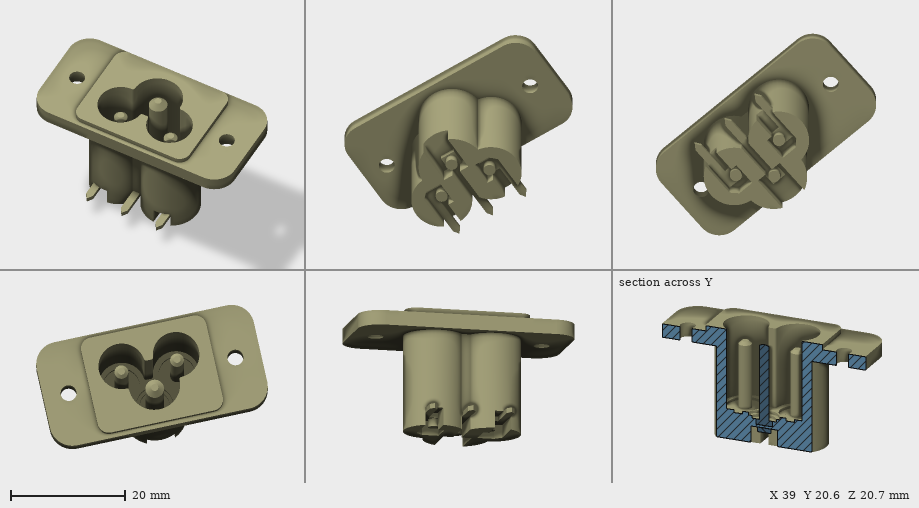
import cadquery as cq
import math

FLANGE_LENGTH = 39.0
FLANGE_WIDTH = 19.0
FLANGE_THICKNESS = 2.6
FLANGE_CORNER = 4.0
SCREW_SPACING = 29.95
SCREW_HOLE_RADIUS = 1.4

PAD_LENGTH = 22.45
PAD_WIDTH = 17.47
PAD_HEIGHT = 0.98
PAD_CORNER = 2.0
FACE_Z = FLANGE_THICKNESS + PAD_HEIGHT

TOWER_BOTTOM = -17.12
TOWER_REAR_Y = 2.1
TOWER_REAR_RADIUS = 5.85
TOWER_SIDE_X = 5.15
TOWER_SIDE_Y = -2.57
TOWER_SIDE_RADIUS = 5.35
TOWER_WEB_Y = -5.65

SOCKET_DEPTH = 15.0
SOCKET_FLOOR = FACE_Z - SOCKET_DEPTH
SOCKET_REAR_Y = 1.95
SOCKET_REAR_RADIUS = 4.52
SOCKET_SIDE_X = 4.88
SOCKET_SIDE_Y = -2.5
SOCKET_SIDE_RADIUS = 4.1
SOCKET_BASE_Y = -2.57
SOCKET_CORNER = 0.4

STEP_DEPTH = 0.5
SIDE_STEP_RADII = [3.28]
REAR_STEP_RADII = [3.28, 2.65]

SIDE_PIN_X = 5.0
SIDE_PIN_Y = -2.3
REAR_PIN_Y = 2.22
SIDE_PIN_RADIUS = 1.2
REAR_PIN_RADIUS = 1.65
SIDE_PIN_TIP = 0.6
REAR_PIN_TIP = 2.55
TIP_RADIUS = 0.62
COLLAR_RADIUS = 2.05
COLLAR_HEIGHT = 1.0
TAIL_RADIUS = 1.05
TAIL_END = -16.3

TERMINAL_TOP = -14.05
TERMINAL_THICKNESS = 0.85
BLADE_SPACING = 6.95
BLADE_WIDTH = 1.35
BLADE_TIP_Y = -11.1
POINT_LENGTH = 1.0
LUG_REACH = 1.35

NOTCH_INNER_X = 4.65
NOTCH_OUTER_X = 7.72
SIDE_POCKET_INNER_X = 3.5
SIDE_POCKET_FRONT_Y = -3.9
SIDE_POCKET_BACK_Y = 0.4
SIDE_POCKET_BEVEL = 1.2
MIDDLE_SLOT_WIDTH = 1.52
REAR_POCKET_WIDTH = 5.07
REAR_POCKET_FRONT_Y = 0.75

STATIONS = [
    (-SIDE_PIN_X, SIDE_PIN_Y, SIDE_PIN_RADIUS, SIDE_PIN_TIP, SIDE_STEP_RADII, -BLADE_SPACING),
    (0.0, REAR_PIN_Y, REAR_PIN_RADIUS, REAR_PIN_TIP, REAR_STEP_RADII, 0.0),
    (SIDE_PIN_X, SIDE_PIN_Y, SIDE_PIN_RADIUS, SIDE_PIN_TIP, SIDE_STEP_RADII, BLADE_SPACING),
]


def cylinder(x, y, radius, bottom, top):
    return cq.Workplane("XY", origin=(x, y, bottom)).circle(radius).extrude(top - bottom)


def pocket(outline):
    """Prism from the pocket ceiling down to the underside of the tower."""
    plane = cq.Workplane("XY", origin=(0, 0, TOWER_BOTTOM))
    return plane.polyline(outline).close().extrude(TERMINAL_TOP - TOWER_BOTTOM)


def rectangle(x_min, x_max, y_min, y_max):
    return [(x_min, y_min), (x_max, y_min), (x_max, y_max), (x_min, y_max)]


def rounded_plate(length, width, corner, bottom, height):
    plate = cq.Workplane("XY", origin=(0, 0, bottom)).rect(length, width).extrude(height)
    return plate.edges("|Z").fillet(corner)


def lobes_corner(rear_y, rear_radius, side_x, side_y, side_radius):
    """Outer crossing point of the rear circle and the +X side circle."""
    dx = side_x
    dy = side_y - rear_y
    distance = math.hypot(dx, dy)
    along = (distance**2 + rear_radius**2 - side_radius**2) / (2 * distance)
    across = math.sqrt(rear_radius**2 - along**2)
    x = (along * dx - across * dy) / distance
    y = rear_y + (along * dy + across * dx) / distance
    return x, y


def three_lobes(rear_y, rear_radius, side_x, side_y, side_radius, base_y, bottom, top):
    """Prism of a rear circle and two side circles, closed between the side lobes by a straight base."""
    corner_x, corner_y = lobes_corner(rear_y, rear_radius, side_x, side_y, side_radius)
    base_x = side_x - math.sqrt(side_radius**2 - (base_y - side_y) ** 2)
    far_x = side_x + side_radius * math.sqrt(0.5)
    far_y = side_y - side_radius * math.sqrt(0.5)
    return (
        cq.Workplane("XY", origin=(0, 0, bottom))
        .moveTo(-base_x, base_y)
        .lineTo(base_x, base_y)
        .threePointArc((far_x, far_y), (corner_x, corner_y))
        .threePointArc((0, rear_y + rear_radius), (-corner_x, corner_y))
        .threePointArc((-far_x, far_y), (-base_x, base_y))
        .close()
        .extrude(top - bottom)
    )


def make_socket():
    socket = three_lobes(
        SOCKET_REAR_Y, SOCKET_REAR_RADIUS, SOCKET_SIDE_X, SOCKET_SIDE_Y, SOCKET_SIDE_RADIUS,
        SOCKET_BASE_Y, SOCKET_FLOOR, FACE_Z,
    )
    return socket.edges("|Z").fillet(SOCKET_CORNER)


def make_side_pocket():
    """+X pocket: a notch through the front wall, wider inside, with a bevelled back corner."""
    front_y = -FLANGE_WIDTH / 2
    return pocket(
        [
            (NOTCH_INNER_X, front_y),
            (NOTCH_OUTER_X, front_y),
            (NOTCH_OUTER_X, SIDE_POCKET_BACK_Y - SIDE_POCKET_BEVEL),
            (NOTCH_OUTER_X - SIDE_POCKET_BEVEL, SIDE_POCKET_BACK_Y),
            (SIDE_POCKET_INNER_X, SIDE_POCKET_BACK_Y),
            (SIDE_POCKET_INNER_X, SIDE_POCKET_FRONT_Y),
            (NOTCH_INNER_X, SIDE_POCKET_FRONT_Y),
        ]
    )


def make_middle_pocket():
    """Narrow slot through the front web, opening into a wide pocket through the rear wall."""
    half_slot = MIDDLE_SLOT_WIDTH / 2
    half_pocket = REAR_POCKET_WIDTH / 2
    half_width = FLANGE_WIDTH / 2
    slot = pocket(rectangle(-half_slot, half_slot, -half_width, REAR_POCKET_FRONT_Y))
    return slot.union(pocket(rectangle(-half_pocket, half_pocket, REAR_POCKET_FRONT_Y, half_width)))


def collar_top(step_radii):
    return SOCKET_FLOOR - STEP_DEPTH * len(step_radii)


def make_housing():
    housing = rounded_plate(FLANGE_LENGTH, FLANGE_WIDTH, FLANGE_CORNER, 0, FLANGE_THICKNESS)
    housing = housing.union(rounded_plate(PAD_LENGTH, PAD_WIDTH, PAD_CORNER, FLANGE_THICKNESS, PAD_HEIGHT))
    tower = three_lobes(
        TOWER_REAR_Y, TOWER_REAR_RADIUS, TOWER_SIDE_X, TOWER_SIDE_Y, TOWER_SIDE_RADIUS,
        TOWER_WEB_Y, TOWER_BOTTOM, 0,
    )
    housing = housing.union(tower).cut(make_socket())

    for side in (-1, 1):
        screw_x = side * SCREW_SPACING / 2
        housing = housing.cut(cylinder(screw_x, 0, SCREW_HOLE_RADIUS, 0, FLANGE_THICKNESS))

    side_pocket = make_side_pocket()
    housing = housing.cut(side_pocket).cut(side_pocket.mirror("YZ")).cut(make_middle_pocket())

    for x, y, _, _, step_radii, _ in STATIONS:
        for index, radius in enumerate(step_radii):
            step_top = SOCKET_FLOOR - STEP_DEPTH * index
            housing = housing.cut(cylinder(x, y, radius, step_top - STEP_DEPTH, step_top))
        seat_top = collar_top(step_radii)
        housing = housing.cut(cylinder(x, y, COLLAR_RADIUS, seat_top - COLLAR_HEIGHT, seat_top))
        housing = housing.cut(cylinder(x, y, TAIL_RADIUS, TERMINAL_TOP, seat_top))
    return housing


def make_pin(x, y, shaft_radius, tip_z, step_radii):
    """Turned pin with a 45 degree tip, a collar set in the socket floor and a thinner tail."""
    collar_z = collar_top(step_radii)
    collar_bottom = collar_z - COLLAR_HEIGHT
    shoulder_z = tip_z - (shaft_radius - TIP_RADIUS)
    profile = [
        (0, TAIL_END),
        (TAIL_RADIUS, TAIL_END),
        (TAIL_RADIUS, collar_bottom),
        (COLLAR_RADIUS, collar_bottom),
        (COLLAR_RADIUS, collar_z),
        (shaft_radius, collar_z),
        (shaft_radius, shoulder_z),
        (TIP_RADIUS, tip_z),
        (0, tip_z),
    ]
    pin = cq.Workplane("XZ").polyline(profile).close().revolve(360, (0, 0), (0, 1))
    return pin.translate((x, y, 0))


def make_terminal(pin_x, pin_y, blade_x):
    """Flat lug around the pin tail with a pointed blade running out to the front."""
    bottom = TERMINAL_TOP - TERMINAL_THICKNESS
    half_blade = BLADE_WIDTH / 2
    blade_outline = [
        (blade_x - half_blade, pin_y),
        (blade_x - half_blade, BLADE_TIP_Y + POINT_LENGTH),
        (blade_x, BLADE_TIP_Y),
        (blade_x + half_blade, BLADE_TIP_Y + POINT_LENGTH),
        (blade_x + half_blade, pin_y),
    ]
    lug_outline = rectangle(
        min(pin_x - LUG_REACH, blade_x - half_blade),
        max(pin_x + LUG_REACH, blade_x + half_blade),
        pin_y - LUG_REACH,
        pin_y + LUG_REACH,
    )
    plane = cq.Workplane("XY", origin=(0, 0, bottom))
    blade = plane.polyline(blade_outline).close().extrude(TERMINAL_THICKNESS)
    lug = plane.polyline(lug_outline).close().extrude(TERMINAL_THICKNESS)
    return blade.union(lug).cut(cylinder(pin_x, pin_y, TAIL_RADIUS, bottom, TERMINAL_TOP))


housing = make_housing()

pins = []
terminals = []
for x, y, shaft_radius, tip_z, step_radii, blade_x in STATIONS:
    pins.append(make_pin(x, y, shaft_radius, tip_z, step_radii).val())
    terminals.append(make_terminal(x, y, blade_x).val())

result = cq.Compound.makeCompound([housing.val(), *pins, *terminals])